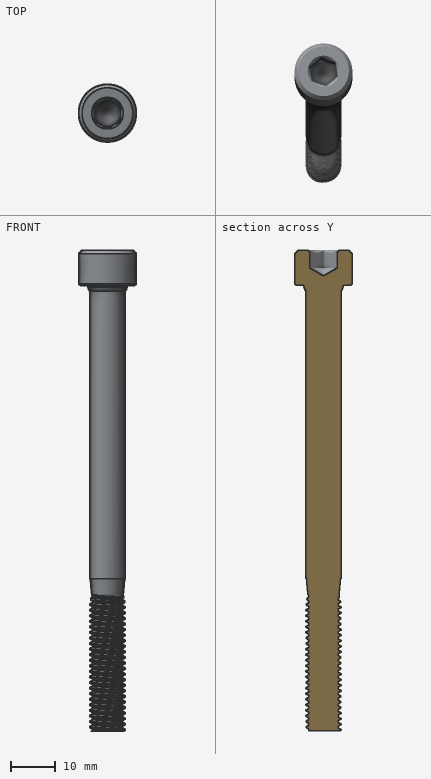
import cadquery as cq
import math

shank_radius = 4.0
screw_length = 100.0

head_radius = 6.5
head_height = 8.0
head_top_chamfer = 0.8
head_bottom_chamfer = 0.45

collar_radius = 4.45
collar_length = 0.3
flare_radius = 4.2
flare_start = 0.95
underhead_length = 1.25

hexagon_sides = 6
socket_flats = 6.0
socket_depth = 4.0
socket_rim_diameter = 7.1
socket_rim_angle = 45.0
socket_tip_angle = 120.0

neck_start_z = -65.8
neck_end_z = -69.4
neck_start_radius = 3.88
neck_end_radius = 3.55

pitch = 1.25
run_in_length = 2 * pitch
flank_angle = 30.0
thread_depth = 5 / 8 * pitch * math.cos(math.radians(flank_angle))
thread_start_angle = 270.0
flank_slope = math.tan(math.radians(flank_angle))
root_half_width = pitch / 8
rod_overlength = 0.5
groove_clearance = 0.1


def make_body():
    """Revolved head, underhead taper, shank and neck."""
    return (
        cq.Workplane("XZ")
        .moveTo(0, head_height)
        .lineTo(head_radius - head_top_chamfer, head_height)
        .lineTo(head_radius, head_height - head_top_chamfer)
        .lineTo(head_radius, head_bottom_chamfer)
        .lineTo(head_radius - head_bottom_chamfer, 0)
        .lineTo(collar_radius, 0)
        .lineTo(collar_radius, -collar_length)
        .lineTo(flare_radius, -flare_start)
        .lineTo(shank_radius, -underhead_length)
        .lineTo(shank_radius, neck_start_z)
        .lineTo(neck_start_radius, neck_start_z)
        .lineTo(neck_end_radius, neck_end_z)
        .lineTo(0, neck_end_z)
        .close()
        .revolve(360, (0, 0), (0, 1))
    )


def make_socket():
    """Hexagonal socket with a countersunk rim and a conical bottom."""
    corner_diameter = socket_flats / math.cos(math.pi / hexagon_sides)
    floor_z = head_height - socket_depth
    hexagon = (
        cq.Workplane("XY", origin=(0, 0, floor_z))
        .transformed(rotate=(0, 0, 90))
        .polygon(hexagon_sides, corner_diameter)
        .extrude(socket_depth)
    )
    tip_radius = socket_flats / 2
    tip_depth = tip_radius / math.tan(math.radians(socket_tip_angle / 2))
    tip_apex = cq.Vector(0, 0, floor_z - tip_depth)
    tip = cq.Workplane(cq.Solid.makeCone(0, tip_radius, tip_depth, tip_apex))
    rim_radius = socket_rim_diameter / 2
    rim_depth = rim_radius * math.tan(math.radians(socket_rim_angle))
    rim_apex = cq.Vector(0, 0, head_height - rim_depth)
    rim = cq.Workplane(cq.Solid.makeCone(0, rim_radius, rim_depth, rim_apex))
    return hexagon.union(tip).union(rim)


def make_thread_groove():
    """Left-hand helical groove cutter running out through the screw tip."""
    bottom_z = -screw_length - pitch
    root_radius = shank_radius - thread_depth
    outer_radius = shank_radius + groove_clearance
    mouth_half_width = root_half_width + (outer_radius - root_radius) * flank_slope
    helix_height = neck_end_z - bottom_z
    helix = cq.Wire.makeHelix(pitch, helix_height, root_radius, lefthand=True)
    groove = (
        cq.Workplane("XZ")
        .polyline([
            (root_radius, -root_half_width),
            (outer_radius, -mouth_half_width),
            (outer_radius, mouth_half_width),
            (root_radius, root_half_width),
        ])
        .close()
        .sweep(cq.Workplane(helix), isFrenet=True)
    )
    return groove.rotate((0, 0, 0), (0, 0, 1), thread_start_angle).translate((0, 0, bottom_z))


def make_thread():
    """Threaded end, its crests rising from the neck to full size over the run-in."""
    threaded_length = screw_length + neck_end_z
    rod = (
        cq.Workplane("XY", origin=(0, 0, -screw_length))
        .circle(shank_radius)
        .extrude(threaded_length + rod_overlength)
    )
    run_in_envelope = (
        cq.Workplane("XZ")
        .moveTo(0, neck_end_z)
        .lineTo(neck_end_radius, neck_end_z)
        .lineTo(shank_radius + groove_clearance, neck_end_z - run_in_length)
        .lineTo(shank_radius + groove_clearance, -screw_length)
        .lineTo(0, -screw_length)
        .close()
        .revolve(360, (0, 0), (0, 1))
    )
    return rod.cut(make_thread_groove()).intersect(run_in_envelope)


screw = make_body().cut(make_socket()).union(make_thread())
result = cq.Workplane(screw.solids().val())